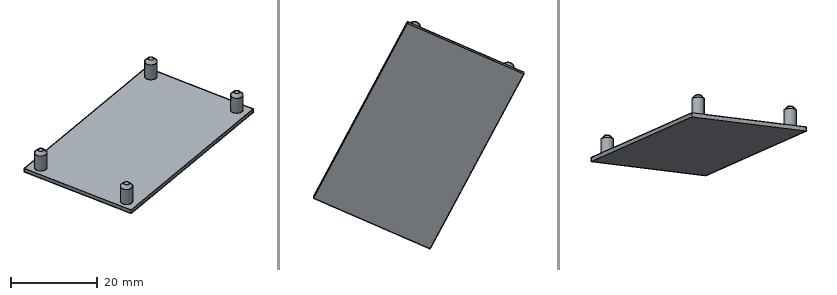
import cadquery as cq

plate_width = 30.0
plate_length = 50.0
plate_thickness = 1.0

total_height = 6.0
pin_diameter = 2.9
side_margin = 1.5
end_margin = 1.0
pin_spacing_x = plate_width - 2 * side_margin - pin_diameter
pin_spacing_y = plate_length - 2 * end_margin - pin_diameter
tip_chamfer = 0.8


def make_plate():
    """Flat plate centred on the origin, resting on Z = 0."""
    return cq.Workplane("XY").box(
        plate_width, plate_length, plate_thickness, centered=(True, True, False)
    )


def make_pins():
    """Four chamfered pins, one near each corner of the plate."""
    return (
        cq.Workplane("XY")
        .rect(pin_spacing_x, pin_spacing_y, forConstruction=True)
        .vertices()
        .circle(pin_diameter / 2)
        .extrude(total_height)
        .faces(">Z")
        .edges()
        .chamfer(tip_chamfer)
    )


result = make_plate().union(make_pins())